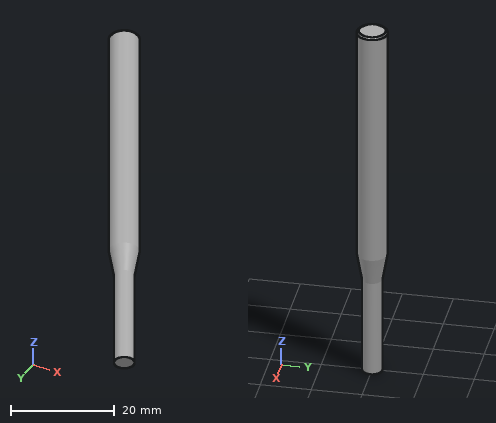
import math

import cadquery as cq

overall_length = 75.0
shank_diameter = 6.0
neck_diameter = 4.0
neck_length = 20.0
taper_half_angle = 10.0
end_chamfer = 0.4

shank_radius = shank_diameter / 2
neck_radius = neck_diameter / 2
taper_length = (shank_radius - neck_radius) / math.tan(math.radians(taper_half_angle))
shank_start = neck_length + taper_length

half_section = (
    cq.Workplane("XZ")
    .moveTo(0, 0)
    .lineTo(neck_radius, 0)
    .lineTo(neck_radius, neck_length)
    .lineTo(shank_radius, shank_start)
    .lineTo(shank_radius, overall_length - end_chamfer)
    .lineTo(shank_radius - end_chamfer, overall_length)
    .lineTo(0, overall_length)
    .close()
)

result = half_section.revolve(360, (0, 0, 0), (0, 1, 0))